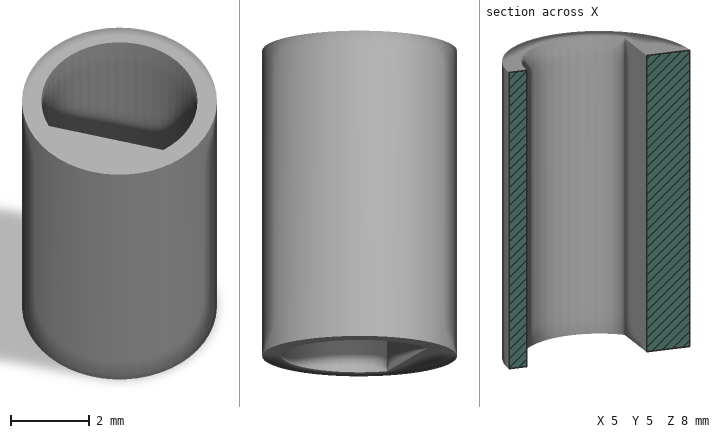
import cadquery as cq

length = 8.0
outer_diameter = 5.0
bore_diameter = 4.0
flat_offset = 1.3


def d_shaped_bore():
    """Full-length round bore with a flat on its -Y side."""
    bore = cq.Workplane("XY").circle(bore_diameter / 2).extrude(length)
    kept_side = (
        cq.Workplane("XY")
        .center(0, -flat_offset)
        .rect(bore_diameter, bore_diameter, centered=(True, False))
        .extrude(length)
    )
    return bore.intersect(kept_side)


sleeve = cq.Workplane("XY").circle(outer_diameter / 2).extrude(length)
result = sleeve.cut(d_shaped_bore())